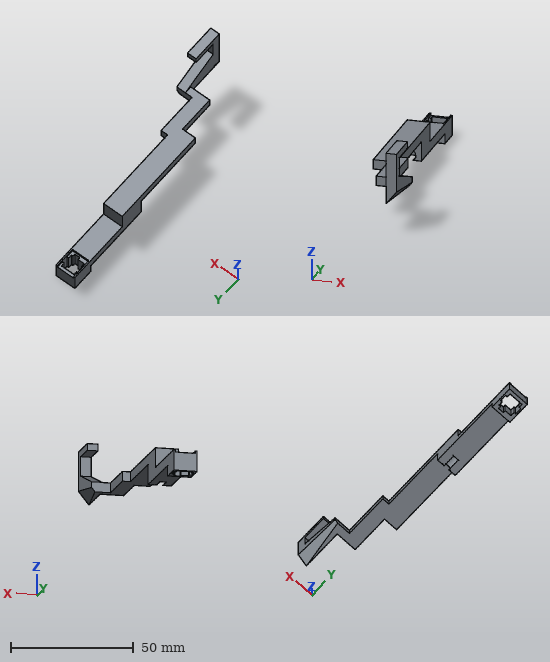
import cadquery as cq

LENGTH = 115.0
WIDTH = 21.0
HEIGHT = 34.7

LOW_BOTTOM = 4.4
LOW_TOP = 8.6
HIGH_BOTTOM = 12.8
HIGH_TOP = 16.9

BAR_WIDTH = 9.8
FOOT_LENGTH = 10.5
RISER_FRONT = 71.6
RISER_BACK = 84.1
BAR_FRONT = 36.3

ARM_LEFT = 6.7
ARM_RIGHT = 13.1
ARM_BACK = 42.3
ARM_FRONT = 18.6

HOOK_THICKNESS = 4.5
HOOK_LEFT = WIDTH - HOOK_THICKNESS
HOOK_BACK = 22.2
HOOK_POST = 4.0
HOOK_TIP = 15.2
HOOK_LIP = 2.9
RAMP_TOP = 23.7

BEVEL_HEIGHT = 5.5
BEVEL_BACK_RATIO = 0.32

BORE_RADIUS = 2.5
BORE_HEIGHT = 6.5
BORE_DEPTH = 5.8

SOCKET_WALL = 0.7
SOCKET_FRONT = 105.1
RECESS_DEPTH = 1.0
WELL_LEFT = 1.6
WELL_FRONT = 107.0
WELL_BACK = 113.5
SIDE_NOTCH_FRONT = 108.8
SIDE_NOTCH_BACK = 111.8
KEY_LEFT = 4.8
KEY_RIGHT = 7.4
KEY_FRONT = 105.8


def block(x_range, y_range, z_range):
    """Box spanning the given (low, high) ranges."""
    sizes = [high - low for low, high in (x_range, y_range, z_range)]
    corner = (x_range[0], y_range[0], z_range[0])
    return cq.Workplane("XY").box(*sizes, centered=False).translate(corner)


def side_profile(points, left, width):
    """Extrude a (y, z) outline along +X from x = left."""
    return cq.Workplane("YZ", origin=(left, 0, 0)).polyline(points).close().extrude(width)


def main_bar():
    foot_front = LENGTH - FOOT_LENGTH
    outline = [
        (BAR_FRONT, HIGH_BOTTOM),
        (RISER_FRONT, HIGH_BOTTOM),
        (RISER_FRONT, LOW_BOTTOM),
        (foot_front, LOW_BOTTOM),
        (foot_front, 0),
        (LENGTH, 0),
        (LENGTH, LOW_TOP),
        (RISER_BACK, LOW_TOP),
        (RISER_BACK, HIGH_TOP),
        (BAR_FRONT, HIGH_TOP),
    ]
    return side_profile(outline, 0, BAR_WIDTH)


def offset_arm():
    z_range = (HIGH_BOTTOM, HIGH_TOP)
    arm = block((ARM_LEFT, ARM_RIGHT), (ARM_FRONT, ARM_BACK), z_range)
    bridge = block((ARM_LEFT, HOOK_LEFT), (ARM_FRONT, HOOK_BACK), z_range)
    return arm.union(bridge)


def bevel_cutter():
    """Triangular wedge shrinking from the hook's front face to its back face."""
    def corner(plane, ratio):
        return plane.polyline([
            (WIDTH, HIGH_BOTTOM),
            (WIDTH - ratio * HOOK_THICKNESS, HIGH_BOTTOM),
            (WIDTH, HIGH_BOTTOM + ratio * BEVEL_HEIGHT),
        ]).close()

    front = corner(cq.Workplane("XZ"), 1.0)
    return corner(front.workplane(offset=-HOOK_BACK), BEVEL_BACK_RATIO).loft(ruled=True)


def hook():
    outline = [
        (0, HIGH_BOTTOM),
        (HOOK_BACK, HIGH_BOTTOM),
        (HOOK_BACK, HIGH_TOP),
        (HOOK_POST, RAMP_TOP),
        (HOOK_POST, HEIGHT - HOOK_LIP),
        (HOOK_TIP, HEIGHT - HOOK_LIP),
        (HOOK_TIP, HEIGHT),
        (0, HEIGHT),
    ]
    return side_profile(outline, HOOK_LEFT, HOOK_THICKNESS).cut(bevel_cutter())


def bore():
    plane = cq.Workplane("XZ", origin=(BAR_WIDTH / 2, RISER_FRONT, BORE_HEIGHT))
    return plane.circle(BORE_RADIUS).extrude(-BORE_DEPTH)


def socket():
    """Shallow recess open at the end, above a through well with side and key notches."""
    through = (0, LOW_TOP)
    inner = (SOCKET_WALL, BAR_WIDTH - SOCKET_WALL)
    recess = block(inner, (SOCKET_FRONT, LENGTH), (LOW_TOP - RECESS_DEPTH, LOW_TOP))
    well = block((WELL_LEFT, BAR_WIDTH - WELL_LEFT), (WELL_FRONT, WELL_BACK), through)
    side_notches = block(inner, (SIDE_NOTCH_FRONT, SIDE_NOTCH_BACK), through)
    key_notch = block((KEY_LEFT, KEY_RIGHT), (KEY_FRONT, WELL_FRONT), through)
    return recess.union(well).union(side_notches).union(key_notch)


result = main_bar().union(offset_arm()).union(hook()).cut(bore()).cut(socket())